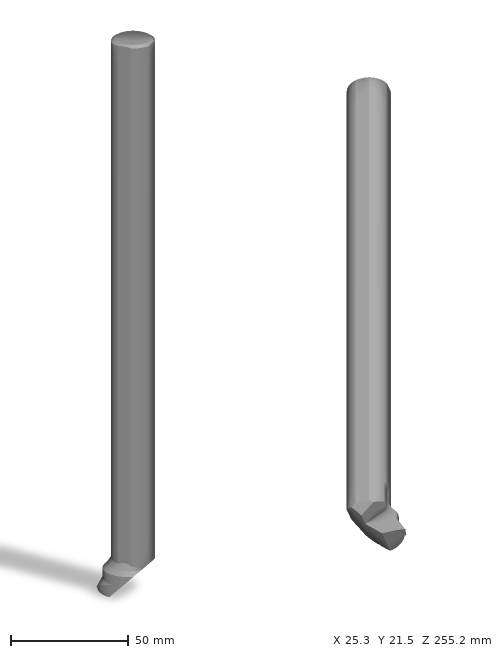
import cadquery as cq
import math

total_length = 255.2
shank_radius = 9.5
flat_distance = 9.0
end_chamfer_radial = 1.5
end_chamfer_height = 1.0

cone_bottom_z = 11.2
neck_bottom_z = 13.3
neck_top_z = 16.3
neck_bottom_radius = 9.7
neck_bottom_x = -1.0
neck_bottom_y = -1.0
band_bottom_z = 6.6
head_bottom_z = 0.5
head_radius = 11.0
head_x = -1.5
head_y = -1.5
nose_shift_x = 2.8
nose_shift_y = 1.5
limit_radius = 13.3
limit_x = -2.5
limit_y = 1.0

underside_relief_top_z = 15.8
gully_floor_x = -8.2
gully_floor_z = 13.8
gully_slope_end_x = 1.8
back_end_z = 7.7
gully_width = 4.3
gully_side_top_z = 23.5
gully_top_z = 26.5
back_bevel_start_z = 13.5
back_bevel_end_y = 5.5
cut_reach = 25.5

insert_tip_x = -16.3
insert_edge = 7.7
insert_thickness = 4.5
insert_tip_angle = 55.0
insert_lead_angle = 7.0
insert_relief_angle = 7.0


def make_shank():
    """Flatted bar with a conical chamfer at its upper end."""
    bar = cq.Workplane("XY").workplane(offset=cone_bottom_z).circle(shank_radius)
    bar = bar.extrude(total_length - cone_bottom_z)
    bar = bar.faces(">Z").chamfer(end_chamfer_height, end_chamfer_radial)
    flats = cq.Workplane("XY").rect(2 * flat_distance, 2 * flat_distance).extrude(total_length)
    return bar.intersect(flats)


def disc(x, y, z, radius):
    """Horizontal circle as a wire."""
    return cq.Wire.makeCircle(radius, cq.Vector(x, y, z), cq.Vector(0, 0, 1))


def loft_between(lower_wire, upper_wire):
    """Straight-sided solid between two horizontal wires."""
    return cq.Workplane(cq.Solid.makeLoft([lower_wire, upper_wire], True))


def make_head():
    """Neck, cone, straight band and a nose that leans outward within a round limit, kept on the -Y side."""
    neck_bottom = disc(neck_bottom_x, neck_bottom_y, neck_bottom_z, neck_bottom_radius)
    neck = loft_between(neck_bottom, disc(0, 0, neck_top_z, flat_distance))
    cone = loft_between(disc(head_x, head_y, cone_bottom_z, head_radius), neck_bottom)
    band_bottom = disc(head_x, head_y, band_bottom_z, head_radius)
    band = loft_between(band_bottom, disc(head_x, head_y, cone_bottom_z, head_radius))
    nose_x = head_x - nose_shift_x
    nose_y = head_y - nose_shift_y
    nose = loft_between(disc(nose_x, nose_y, head_bottom_z, head_radius), band_bottom)
    limit = cq.Workplane("XY", origin=(limit_x, limit_y, 0)).circle(limit_radius).extrude(cone_bottom_z)
    nose = nose.intersect(limit)
    front_half = cq.Workplane("XY").box(4 * cut_reach, cut_reach, cut_reach, centered=(True, False, False))
    front_half = front_half.translate((0, -cut_reach, 0))
    return neck.union(cone).union(band).union(nose).intersect(front_half)


def make_back_stub():
    """Lower end of the shank behind the rake plane, bevelled on its +Y side."""
    stub = cq.Workplane("XY").workplane(offset=back_end_z).circle(shank_radius)
    stub = stub.extrude(cone_bottom_z - back_end_z)
    back_half = cq.Workplane("XY").box(cut_reach, cut_reach, cut_reach, centered=(True, False, False))
    flats = cq.Workplane("XY").rect(2 * flat_distance, 2 * flat_distance).extrude(cone_bottom_z)
    return stub.intersect(back_half).intersect(flats)


def back_bevel_cut():
    """Wedge that bevels the lower +Y side of the shank."""
    outline = [(shank_radius, back_bevel_start_z), (back_bevel_end_y, back_end_z), (shank_radius, back_end_z)]
    return cq.Workplane("YZ").polyline(outline).close().extrude(cut_reach, both=True)


def underside_relief_cut():
    """45 degree relief under the +X side of the head."""
    outline = [
        (shank_radius, underside_relief_top_z),
        (shank_radius - underside_relief_top_z, 0),
        (shank_radius, 0),
    ]
    return cq.Workplane("XZ").polyline(outline).close().extrude(cut_reach, both=True)


def chip_gully_cut():
    """Chip space behind the rake plane and the shallow channel above it."""
    slope_outline = [
        (-cut_reach, gully_floor_z),
        (gully_floor_x, gully_floor_z),
        (gully_slope_end_x, back_end_z),
        (-cut_reach, back_end_z),
    ]
    slope = cq.Workplane("XZ").polyline(slope_outline).close().extrude(-cut_reach)
    channel_outline = [
        (-shank_radius, gully_floor_z),
        (gully_floor_x, gully_floor_z),
        (gully_floor_x, gully_side_top_z),
        (-flat_distance, gully_top_z),
        (-shank_radius, gully_top_z),
    ]
    channel = cq.Workplane("XZ").polyline(channel_outline).close().extrude(-gully_width)
    return slope.union(channel)


def make_insert():
    """Rhombic plate, narrowing away from its rake face by the relief angle."""
    lower_angle = math.radians(insert_lead_angle)
    upper_angle = math.radians(insert_lead_angle + insert_tip_angle)
    lower = (insert_edge * math.cos(lower_angle), insert_edge * math.sin(lower_angle))
    upper = (insert_edge * math.cos(upper_angle), insert_edge * math.sin(upper_angle))
    outline = [(0, 0), lower, (lower[0] + upper[0], lower[1] + upper[1]), upper]
    plate = cq.Workplane("XZ", origin=(insert_tip_x, 0, 0)).polyline(outline).close()
    return plate.extrude(insert_thickness, taper=insert_relief_angle)


insert = make_insert()
bar = make_shank().union(make_head()).union(make_back_stub())
bar = bar.cut(back_bevel_cut()).cut(underside_relief_cut()).cut(chip_gully_cut()).cut(insert)

result = cq.Compound.makeCompound([bar.val(), insert.val()])